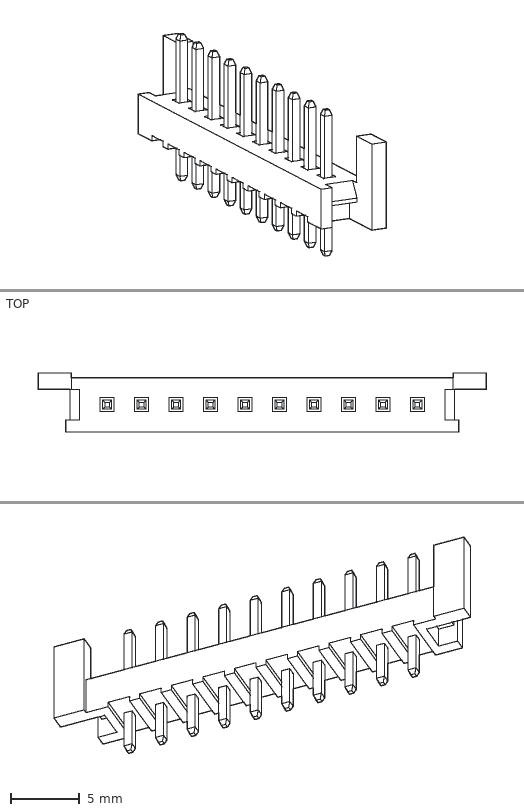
import cadquery as cq

PIN_COUNT = 10
PITCH = 2.5
PIN_WIDTH = 0.64
PIN_BOTTOM = -3.0
PIN_TOP = 8.0
TIP_LENGTH = 0.4
TIP_INSET = 0.15
PIN_ROW_HALF = (PIN_COUNT - 1) * PITCH / 2
PIN_POSITIONS = [(i * PITCH - PIN_ROW_HALF, 0) for i in range(PIN_COUNT)]

FRONT_Y = -2.0
BACK_Y = 1.95
HOUSING_HALF_LENGTH = 14.25
HOUSING_HEIGHT = 3.0
POCKET_WIDTH = 1.0
POCKET_DEPTH = 0.5
CHANNEL_WIDTH = 1.7
CHANNEL_HEIGHT = 0.4

EAR_OUTER_X = 16.25
EAR_WIDTH = 2.4
EAR_INNER_X = EAR_OUTER_X - EAR_WIDTH
EAR_THICKNESS = 1.2
EAR_OFFSET = 0.35
EAR_BACK_Y = BACK_Y + EAR_OFFSET
EAR_FRONT_Y = EAR_BACK_Y - EAR_THICKNESS
EAR_HEIGHT = 6.5

LIP_THICKNESS = 0.9
LIP_BACK_Y = FRONT_Y + LIP_THICKNESS
NOTCH_FLOOR_X = 12.75
LATCH_TOP_X = 13.25
LATCH_NOSE_X = 13.95
LATCH_RAMP_HEIGHT = 1.15
LATCH_NOSE_HEIGHT = 0.3
LATCH_NOSE_TOP = HOUSING_HEIGHT - LATCH_RAMP_HEIGHT
LATCH_NOSE_BOTTOM = LATCH_NOSE_TOP - LATCH_NOSE_HEIGHT


def block(x_range, y_range, z_range):
    """Axis-aligned box given by its limits."""
    x0, x1 = x_range
    y0, y1 = y_range
    z0, z1 = z_range
    return cq.Workplane("XY").box(x1 - x0, y1 - y0, z1 - z0, centered=False).translate((x0, y0, z0))


def make_housing_bar():
    """Front lip over the full length, core between the notches, back strip between the ears."""
    lip = block((-HOUSING_HALF_LENGTH, HOUSING_HALF_LENGTH), (FRONT_Y, LIP_BACK_Y), (0, HOUSING_HEIGHT))
    core = block((-NOTCH_FLOOR_X, NOTCH_FLOOR_X), (LIP_BACK_Y, EAR_FRONT_Y), (0, HOUSING_HEIGHT))
    strip = block((-EAR_INNER_X, EAR_INNER_X), (EAR_FRONT_Y, BACK_Y), (0, HOUSING_HEIGHT))
    return lip.union(core).union(strip)


def make_right_latch():
    """Bump on the notch floor at the +X end: ramp from the top, then a vertical nose."""
    profile = [
        (NOTCH_FLOOR_X, HOUSING_HEIGHT),
        (LATCH_TOP_X, HOUSING_HEIGHT),
        (LATCH_NOSE_X, LATCH_NOSE_TOP),
        (LATCH_NOSE_X, LATCH_NOSE_BOTTOM),
        (NOTCH_FLOOR_X, LATCH_NOSE_BOTTOM),
    ]
    latch = cq.Workplane("XZ").polyline(profile).close().extrude(EAR_FRONT_Y - LIP_BACK_Y)
    return latch.translate((0, EAR_FRONT_Y, 0))


def make_right_end():
    """Upright ear with the latch beside it, at the +X end."""
    ear = block((EAR_INNER_X, EAR_OUTER_X), (EAR_FRONT_Y, EAR_BACK_Y), (0, EAR_HEIGHT))
    return ear.union(make_right_latch())


def cut_pin_openings(housing):
    """Square pocket around each pin on top, channel across the underside below each pin."""
    pockets = (
        cq.Workplane("XY", origin=(0, 0, HOUSING_HEIGHT))
        .pushPoints(PIN_POSITIONS)
        .rect(POCKET_WIDTH, POCKET_WIDTH)
        .extrude(-POCKET_DEPTH)
    )
    housing = housing.cut(pockets)
    half_width = CHANNEL_WIDTH / 2
    for x, _ in PIN_POSITIONS:
        housing = housing.cut(block((x - half_width, x + half_width), (FRONT_Y, BACK_Y), (0, CHANNEL_HEIGHT)))
    return housing


def make_pin():
    """Square pin with both ends tapered."""
    pin = cq.Workplane("XY").rect(PIN_WIDTH, PIN_WIDTH).extrude(PIN_TOP - PIN_BOTTOM)
    pin = pin.faces("<Z or >Z").chamfer(TIP_LENGTH, TIP_INSET)
    return pin.translate((0, 0, PIN_BOTTOM))


right_end = make_right_end()
left_end = right_end.mirror("YZ")
housing = make_housing_bar().union(right_end).union(left_end)
result = cut_pin_openings(housing)
pin = make_pin()
for x, y in PIN_POSITIONS:
    result = result.union(pin.translate((x, y, 0)))